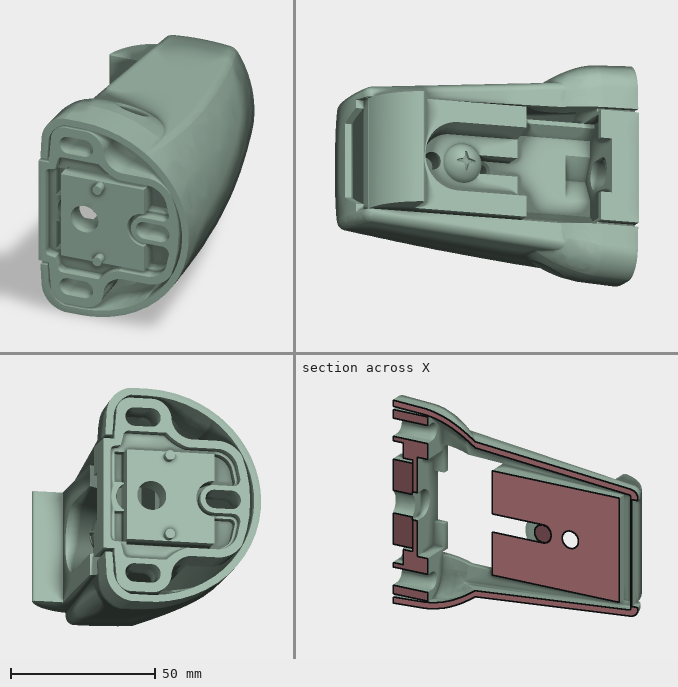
import cadquery as cq
import math


OVERALL_LENGTH = 103.0

COVER_LENGTH = 99.8
WALL = 2.5
CREST_X = 21.9
HALF_HEIGHT = 38.0
NOSE_STATIONS = [
    (0, 62.4, 38.0),
    (23.7, 61.3, 38.7),
    (56.6, 57.6, 36.7),
    (77.8, 53.1, 34.3),
    (108.1, 44.9, 29.9),
]
SHOULDER_STATIONS = [
    (0, 6.9, 38.0, 28.8, 16.0),
    (13.1, 7.3, 37.4, 28.3, 16.0),
    (20.9, 9.0, 35.6, 26.8, 16.9),
    (27.2, 11.7, 32.8, 25.2, 19.1),
    (34, 16.1, 28.3, 21.1, 20.4),
]
WALL_LEAN = 0.5
CORNER_MIDDLE_X = 0.3
CORNER_MIDDLE_Z = 0.66
NECK_Y = 0
SKIRT_SET_BACK = 0.1
NECK_WALL_BASE_X = 10.3
NECK_WALL_TIP_X = 15.0
SIDE_LEAN = 3.0
NECK_BASE_HALF_HEIGHT = 33.8
NECK_END_HALF_HEIGHT = 23.8
WEDGE_START_Y = -10.3
WEDGE_END_Y = 108.1
TIP_EDGE_Y = 96.4
TIP_EDGE_X = 49.4
SIDE_ROUND = 3.1
CREST_ROUND = 4.1
TIP_ROUND = 3.1
MOUTH_BASE_HALF_WIDTH = 20.9
MOUTH_TIP_HALF_WIDTH = 19.9
MOUTH_END_Y = 103.0
MOUTH_DEPTH_X = 17.5
TIP_NOTCH_X = 21.8
TIP_NOTCH_DEEP_X = 29.9
TIP_NOTCH_STEP_Z = 17.0
TIP_NOTCH_DEEP_Z = 13.1
DENT_CENTER = (31.7, 24.4, 33.2)
DENT_NORMAL = (0.22, 0.42, 0.88)
DENT_RIM_RADIUS = 8.0
DENT_SPHERE_RADIUS = 20.6
POST_DIAMETER = 6.8
POST_END_X = 55.1

FRAME_DEPTH = 14.0
SHELF_DEPTH = 4.1
POCKET_DEPTH = 7.8
POCKET_STEP = 0.9
POCKET_WALL_X = 8.9
DEEP_HALF_WIDTH = 17.0
WINDOW_LENGTH = 16.9
POCKET_STEP_START_X = 15.4
SIDE_WELL_X = 11.2
TONGUE_HALF_WIDTH = 5.1
FLOOR_TOP_Y = 9.9
BAR_X = 6.3
BAR_HALF_WIDTH = 19.6
SLOT_LENGTH = 12.6
SLOT_WIDTH = 6.6
LOBE_SLOT_X = 20.4
LOBE_SLOT_Z = 27.8
NOSE_SLOT_X = 48.9
BOSS_X = 45.7
BOSS_RADIUS = 4.9
BAR_NOTCH_HALF_WIDTH = 9.6

PLATE_LEFT_X = 14.6
PLATE_RIGHT_X = BOSS_X
PLATE_HALF_WIDTH = 16.0
PLATE_NOTCH_RADIUS = 6.4
ACCESS_HOLE_X = 23.5
ACCESS_HOLE_DIAMETER = 10.3
PEG_X = 29.4
PEG_Z = 14.0
PEG_DIAMETER = 3.4
PEG_LENGTH = OVERALL_LENGTH - COVER_LENGTH

HOOK_START_Y = 39.8
HOOK_END_Y = 95.7
HOOK_STEP_X = 16.7
HOOK_STEP_Y = 90.6
HOOK_LIP_Y = 80.7
HOOK_FACE_X = 10.7
HOOK_HALF_WIDTH = BAR_HALF_WIDTH
TAPER_START_X = 21.1
GROOVE_FLOOR_X = 29.0
GROOVE_FLOOR_HALF_WIDTH = 13.5
RECESS_FLOOR_X = 20.2
RECESS_CENTER_Y = 64.8
RECESS_TOP_RADIUS = 12.2
RECESS_FLOOR_RADIUS = 9.9
STOP_HOLE_Y = 71.1
STOP_HOLE_DIAMETER = 6.3

CARRIER_END_Y = 92.7
CARRIER_FACE_X = 24.5
CARRIER_BACK_X = 41.2
CARRIER_HALF_WIDTH = 18.4
VEE_END_Y = 19.0
VEE_HALF_WIDTH = 7.7
VEE_DEPTH = 5.1
TAPPED_HOLE_Y = 49.8
TAPPED_HOLE_DIAMETER = 4.4
TAPPED_HOLE_RIM_DIAMETER = 6.3
TAPPED_HOLE_DEPTH = 8.2

SCREW_Y = 59.9
SHANK_DIAMETER = 6.6
SHANK_END_X = 38.1
HEAD_DIAMETER = 14.0
HEAD_HEIGHT = 4.6
DRIVE_LENGTH = 6.9
DRIVE_WIDTH = 1.9
DRIVE_TIP_WIDTH = 0.6
DRIVE_DEPTH = 2.1


def section_plane(y):
    """Cross-section plane at height y; its local axes are X and Z."""
    return cq.Workplane("XZ", origin=(0, y, 0))


def prism_along_y(outline, start_y, end_y):
    return outline.extrude(-(end_y - start_y))


def block(x_range, y_range, z_half):
    """Box between two x and two y values, centred on z = 0."""
    size_x = x_range[1] - x_range[0]
    size_y = y_range[1] - y_range[0]
    return (cq.Workplane("XY")
            .box(size_x, size_y, 2 * z_half, centered=(False, False, True))
            .translate((x_range[0], y_range[0], 0)))


def loft(wires):
    return cq.Workplane(obj=cq.Solid.makeLoft(wires))


def nose_form(inset):
    """Tapering elliptical body whose +X side follows the nose stations."""
    wires = []
    for y, far_x, half_height in NOSE_STATIONS:
        section = section_plane(y).center(CREST_X, 0)
        wires.append(section.ellipse(far_x - CREST_X - inset, half_height - inset, 180).val())
    return loft(wires)


def far_x_at(y):
    """Interpolated +X extent of the nose at height y."""
    for (y0, x0, _), (y1, x1, _) in zip(NOSE_STATIONS, NOSE_STATIONS[1:]):
        if y <= y1:
            return x0 + (x1 - x0) * (y - y0) / (y1 - y0)


def shoulder_form(inset):
    """Skirt and shoulders: flat -X wall, round corners and an elliptical +X side."""
    wires = []
    for y, wall_x, half_height, flat, corner_x in SHOULDER_STATIONS:
        left = wall_x + inset
        top = half_height - inset
        straight = flat - inset
        rim = left + WALL_LEAN
        middle_x = rim + (corner_x - rim) * CORNER_MIDDLE_X
        middle_z = straight + (top - straight) * CORNER_MIDDLE_Z
        wires.append(
            section_plane(y)
            .moveTo(left, -MOUTH_TIP_HALF_WIDTH)
            .lineTo(left, MOUTH_TIP_HALF_WIDTH)
            .lineTo(rim, straight)
            .threePointArc((middle_x, middle_z), (corner_x, top))
            .lineTo(CREST_X, top)
            .ellipseArc(far_x_at(y) - SKIRT_SET_BACK - CREST_X - inset, top, -90, 90, sense=-1)
            .lineTo(corner_x, -top)
            .threePointArc((middle_x, -middle_z), (rim, -straight))
            .close().val()
        )
    return loft(wires[:2]).union(loft(wires[1:]))


def neck_form(inset):
    """Tapering body: the nose trimmed to a wedge with a crowned tip."""
    tip = COVER_LENGTH - inset
    crown = (
        cq.Workplane("XY")
        .moveTo(NECK_WALL_BASE_X + inset, NECK_Y)
        .lineTo(NECK_WALL_TIP_X + inset, TIP_EDGE_Y - inset)
        .threePointArc(((NECK_WALL_TIP_X + TIP_EDGE_X) / 2, tip), (TIP_EDGE_X - inset, TIP_EDGE_Y - inset))
        .lineTo(2 * TIP_EDGE_X, TIP_EDGE_Y - inset)
        .lineTo(2 * TIP_EDGE_X, NECK_Y)
        .close().extrude(HALF_HEIGHT, both=True)
    )
    base_half = NECK_BASE_HALF_HEIGHT - inset
    end_half = NECK_END_HALF_HEIGHT - inset
    wedge = (
        cq.Workplane("YZ")
        .polyline([
            (WEDGE_START_Y, -base_half), (WEDGE_END_Y, -end_half),
            (WEDGE_END_Y, end_half), (WEDGE_START_Y, base_half),
        ])
        .close().extrude(2 * TIP_EDGE_X, taper=SIDE_LEAN)
    )
    neck = nose_form(inset).intersect(crown).intersect(wedge)
    for round_radius, least_x, most_x in [
        (SIDE_ROUND, 0, CREST_X),
        (CREST_ROUND, CREST_X, 2 * TIP_EDGE_X),
    ]:
        long_edges = cq.selectors.BoxSelector(
            (least_x, NECK_Y + 1, -HALF_HEIGHT), (most_x, TIP_EDGE_Y - CREST_ROUND, HALF_HEIGHT))
        neck = neck.edges(long_edges).fillet(round_radius - inset)
    return neck.faces(">Y").edges().fillet(TIP_ROUND - inset)


def dents(radius):
    """Spheres that press a round dent into both shoulders."""
    rise = math.sqrt(DENT_SPHERE_RADIUS ** 2 - DENT_RIM_RADIUS ** 2)
    x, y, z = (c + rise * n for c, n in zip(DENT_CENTER, DENT_NORMAL))
    sphere = cq.Workplane("XY").sphere(radius)
    return sphere.translate((x, y, z)).add(sphere.translate((x, y, -z))).combine()


def cover_form(inset):
    shoulders = shoulder_form(inset).cut(dents(DENT_SPHERE_RADIUS + inset))
    return shoulders.union(neck_form(inset))


def tip_notch():
    """Notch in the tip wall: wide near the mouth, then narrowing towards the crown."""
    outline = section_plane(HOOK_END_Y).polyline([
        (0, -MOUTH_TIP_HALF_WIDTH), (TIP_NOTCH_X, -MOUTH_TIP_HALF_WIDTH),
        (TIP_NOTCH_X, -TIP_NOTCH_STEP_Z), (TIP_NOTCH_DEEP_X, -TIP_NOTCH_DEEP_Z),
        (TIP_NOTCH_DEEP_X, TIP_NOTCH_DEEP_Z), (TIP_NOTCH_X, TIP_NOTCH_STEP_Z),
        (TIP_NOTCH_X, MOUTH_TIP_HALF_WIDTH), (0, MOUTH_TIP_HALF_WIDTH),
    ]).close()
    return prism_along_y(outline, HOOK_END_Y, MOUTH_END_Y)


def make_cover():
    mouth = (
        cq.Workplane("YZ")
        .polyline([
            (0, -MOUTH_BASE_HALF_WIDTH), (MOUTH_END_Y, -MOUTH_TIP_HALF_WIDTH),
            (MOUTH_END_Y, MOUTH_TIP_HALF_WIDTH), (0, MOUTH_BASE_HALF_WIDTH),
        ])
        .close().extrude(MOUTH_DEPTH_X)
    )
    post = rod_along_x(SCREW_Y, POST_DIAMETER, CARRIER_BACK_X, POST_END_X)
    return cover_form(0).cut(cover_form(WALL)).cut(mouth).cut(tip_notch()).union(post)


def make_frame(cover):
    """Base ring with a rear pocket, three slots and a cross bar in the cover's mouth."""
    half_ring = (
        cq.Workplane("XZ")
        .moveTo(9.9, 0)
        .lineTo(10.2, 20.9)
        .lineTo(10.9, 29.2)
        .threePointArc((12.5, 33.1), (16.4, 34.5))
        .lineTo(24.3, 34.5)
        .threePointArc((28.7, 32.1), (30.6, 27.2))
        .threePointArc((32.5, 23.2), (37.6, 20.8))
        .lineTo(47.8, 20.8)
        .threePointArc((52.7, 19.0), (55.6, 16.0))
        .threePointArc((57.8, 8.2), (58.5, 0))
        .close()
    )
    ring = half_ring.extrude(-FRAME_DEPTH)
    ring = ring.union(ring.mirror("XY"))
    bar = block((BAR_X, PLATE_LEFT_X), (0, FRAME_DEPTH), BAR_HALF_WIDTH)
    slots = (
        cq.Workplane("XZ")
        .pushPoints([(LOBE_SLOT_X, LOBE_SLOT_Z), (LOBE_SLOT_X, -LOBE_SLOT_Z), (NOSE_SLOT_X, 0)])
        .slot2D(SLOT_LENGTH, SLOT_WIDTH).extrude(-FRAME_DEPTH)
    )
    window_left_x = ACCESS_HOLE_X + ACCESS_HOLE_DIAMETER / 2 - WINDOW_LENGTH
    window = (
        cq.Workplane("XZ").center(window_left_x + WINDOW_LENGTH / 2, 0)
        .slot2D(WINDOW_LENGTH, ACCESS_HOLE_DIAMETER).extrude(-FRAME_DEPTH)
    )
    carrier_seat = block((POCKET_WALL_X, CARRIER_BACK_X), (FLOOR_TOP_Y, FRAME_DEPTH), CARRIER_HALF_WIDTH)
    bar_notch = block((BAR_X, POCKET_WALL_X), (FLOOR_TOP_Y, FRAME_DEPTH), BAR_NOTCH_HALF_WIDTH)
    frame = ring.union(bar)
    for void in [stepped_pocket(), slots, window, carrier_seat, bar_notch, cover]:
        frame = frame.cut(void)
    return frame


def pocket_outline():
    """Mirrored outline of the pocket, wrapped around the boss of the nose slot."""
    boss_middle = BOSS_RADIUS * math.sqrt(0.5)
    return (
        cq.Workplane("XZ")
        .moveTo(POCKET_WALL_X, 0)
        .lineTo(POCKET_WALL_X, 15.4)
        .threePointArc((9.3, 16.5), (10.3, 17.0))
        .lineTo(12.5, 17.4)
        .lineTo(13.3, 20.6)
        .threePointArc((13.9, 22.0), (15.4, 22.7))
        .lineTo(28.7, 22.7)
        .threePointArc((32.2, 19.8), (36.3, 17.9))
        .lineTo(47.8, 17.9)
        .threePointArc((52.0, 15.8), (54.1, 12.0))
        .lineTo(54.9, 8.2)
        .threePointArc((54.6, 6.1), (52.5, BOSS_RADIUS))
        .lineTo(BOSS_X, BOSS_RADIUS)
        .threePointArc((BOSS_X - boss_middle, boss_middle), (BOSS_X - BOSS_RADIUS, 0))
        .mirrorX()
    )


def stepped_pocket():
    """Shelf-deep pocket with a deeper, slightly smaller part around the plate."""
    shelf = pocket_outline().extrude(-SHELF_DEPTH)
    core = pocket_outline().offset2D(-POCKET_STEP).extrude(-POCKET_DEPTH)
    nose_x = NOSE_STATIONS[0][1]
    core = core.intersect(block((POCKET_STEP_START_X, nose_x), (0, POCKET_DEPTH), DEEP_HALF_WIDTH))
    wells = block((SIDE_WELL_X, POCKET_STEP_START_X), (0, POCKET_DEPTH), PLATE_HALF_WIDTH)
    tongue = block((SIDE_WELL_X, PLATE_LEFT_X), (0, POCKET_DEPTH), TONGUE_HALF_WIDTH)
    return shelf.union(core).union(wells.cut(tongue))


def vee_groove():
    """V-shaped valley along Y at the start of the groove floor."""
    return (
        section_plane(FLOOR_TOP_Y)
        .polyline([(GROOVE_FLOOR_X, -VEE_HALF_WIDTH), (GROOVE_FLOOR_X + VEE_DEPTH, 0),
                   (GROOVE_FLOOR_X, VEE_HALF_WIDTH)])
        .close().extrude(-(VEE_END_Y - FLOOR_TOP_Y))
    )


def make_plate():
    """Contact plate in the frame's pocket, with an access hole and two pegs."""
    plate = block((PLATE_LEFT_X, PLATE_RIGHT_X), (0, POCKET_DEPTH), PLATE_HALF_WIDTH)
    access_hole = (
        cq.Workplane("XZ").center(ACCESS_HOLE_X, 0).circle(ACCESS_HOLE_DIAMETER / 2).extrude(-POCKET_DEPTH)
    )
    boss_notch = cq.Workplane("XZ").center(BOSS_X, 0).circle(PLATE_NOTCH_RADIUS).extrude(-POCKET_DEPTH)
    pegs = (
        cq.Workplane("XZ").pushPoints([(PEG_X, PEG_Z), (PEG_X, -PEG_Z)])
        .circle(PEG_DIAMETER / 2).extrude(PEG_LENGTH)
    )
    return plate.cut(access_hole).cut(boss_notch).union(pegs)


def rod_along_x(y, diameter, start_x, end_x):
    return cq.Workplane("YZ", origin=(start_x, y, 0)).circle(diameter / 2).extrude(end_x - start_x)


def make_hook():
    """Sliding jaw: curved lip, tapered underside, round-ended recess and open screw slot."""
    profile = (
        cq.Workplane("XY")
        .moveTo(HOOK_FACE_X, HOOK_START_Y)
        .lineTo(HOOK_FACE_X, HOOK_LIP_Y)
        .lineTo(0.8, HOOK_LIP_Y)
        .threePointArc((0.1, 81.2), (0.1, 82.2))
        .threePointArc((7.2, 91.9), (16.1, HOOK_END_Y))
        .lineTo(HOOK_STEP_X, HOOK_END_Y)
        .lineTo(HOOK_STEP_X, HOOK_STEP_Y)
        .lineTo(GROOVE_FLOOR_X, HOOK_STEP_Y)
        .lineTo(GROOVE_FLOOR_X, HOOK_START_Y)
        .close().extrude(HOOK_HALF_WIDTH, both=True)
    )
    cross_section = prism_along_y(
        section_plane(HOOK_START_Y).polyline([
            (0, -HOOK_HALF_WIDTH), (TAPER_START_X, -HOOK_HALF_WIDTH),
            (GROOVE_FLOOR_X, -GROOVE_FLOOR_HALF_WIDTH), (GROOVE_FLOOR_X, GROOVE_FLOOR_HALF_WIDTH),
            (TAPER_START_X, HOOK_HALF_WIDTH), (0, HOOK_HALF_WIDTH),
        ]).close(), HOOK_START_Y, HOOK_END_Y)
    stop_hole = rod_along_x(STOP_HOLE_Y, STOP_HOLE_DIAMETER, RECESS_FLOOR_X, GROOVE_FLOOR_X)
    return profile.intersect(cross_section).cut(recess()).cut(screw_slot()).cut(stop_hole)


def recess_outline(x, radius):
    """Round-ended outline, open towards the base, at depth x."""
    return (
        cq.Workplane("YZ", origin=(x, 0, 0))
        .moveTo(HOOK_START_Y, -radius)
        .lineTo(RECESS_CENTER_Y, -radius)
        .threePointArc((RECESS_CENTER_Y + radius, 0), (RECESS_CENTER_Y, radius))
        .lineTo(HOOK_START_Y, radius)
        .close().val()
    )


def recess():
    rim = recess_outline(HOOK_FACE_X, RECESS_TOP_RADIUS)
    floor = recess_outline(RECESS_FLOOR_X, RECESS_FLOOR_RADIUS)
    return loft([rim, floor])


def screw_slot():
    slot = block((RECESS_FLOOR_X, GROOVE_FLOOR_X), (HOOK_START_Y, SCREW_Y), SHANK_DIAMETER / 2)
    return slot.union(rod_along_x(SCREW_Y, SHANK_DIAMETER, RECESS_FLOOR_X, GROOVE_FLOOR_X))


def make_carrier():
    """Guide block whose tapered groove holds the hook."""
    body = block((CARRIER_FACE_X, CARRIER_BACK_X), (FLOOR_TOP_Y, CARRIER_END_Y), CARRIER_HALF_WIDTH)
    groove = prism_along_y(
        section_plane(FLOOR_TOP_Y).polyline([
            (TAPER_START_X, -HOOK_HALF_WIDTH), (GROOVE_FLOOR_X, -GROOVE_FLOOR_HALF_WIDTH),
            (GROOVE_FLOOR_X, GROOVE_FLOOR_HALF_WIDTH), (TAPER_START_X, HOOK_HALF_WIDTH),
        ]).close(), FLOOR_TOP_Y, CARRIER_END_Y)
    tapped_hole = rod_along_x(
        TAPPED_HOLE_Y, TAPPED_HOLE_DIAMETER, GROOVE_FLOOR_X, GROOVE_FLOOR_X + TAPPED_HOLE_DEPTH)
    rim_height = (TAPPED_HOLE_RIM_DIAMETER - TAPPED_HOLE_DIAMETER) / 2
    rim = (
        cq.Workplane("YZ", origin=(GROOVE_FLOOR_X, TAPPED_HOLE_Y, 0))
        .circle(TAPPED_HOLE_RIM_DIAMETER / 2)
        .workplane(offset=rim_height).circle(TAPPED_HOLE_DIAMETER / 2).loft()
    )
    screw_hole = rod_along_x(SCREW_Y, SHANK_DIAMETER, GROOVE_FLOOR_X, SHANK_END_X)
    return body.cut(groove).cut(vee_groove()).cut(tapped_hole).cut(rim).cut(screw_hole)


def make_screw():
    """Dome-headed screw with a cross drive."""
    top_x = RECESS_FLOOR_X - HEAD_HEIGHT
    radius = HEAD_DIAMETER / 2
    dome_radius = (radius ** 2 + HEAD_HEIGHT ** 2) / (2 * HEAD_HEIGHT)
    half_angle = math.asin(radius / dome_radius) / 2
    middle_x = top_x + dome_radius * (1 - math.cos(half_angle))
    middle_y = SCREW_Y + dome_radius * math.sin(half_angle)
    head = (
        cq.Workplane("XY")
        .moveTo(top_x, SCREW_Y)
        .threePointArc((middle_x, middle_y), (RECESS_FLOOR_X, SCREW_Y + radius))
        .lineTo(RECESS_FLOOR_X, SCREW_Y)
        .close()
        .revolve(360, (0, SCREW_Y, 0), (1, SCREW_Y, 0))
    )
    shank = rod_along_x(SCREW_Y, SHANK_DIAMETER, RECESS_FLOOR_X, SHANK_END_X)
    half = DRIVE_LENGTH / 2
    waist = DRIVE_WIDTH / 2
    tip = DRIVE_TIP_WIDTH / 2
    cross = (
        cq.Workplane("YZ", origin=(top_x, SCREW_Y, 0))
        .polyline([
            (half, -tip), (half, tip), (waist, waist),
            (tip, half), (-tip, half), (-waist, waist),
            (-half, tip), (-half, -tip), (-waist, -waist),
            (-tip, -half), (tip, -half), (waist, -waist),
        ])
        .close().extrude(DRIVE_DEPTH)
    )
    return head.union(shank).cut(cross)


cover = make_cover()
frame = make_frame(cover)
plate = make_plate()
hook = make_hook()
carrier = make_carrier()
screw = make_screw()

bodies = [cover, frame, plate, hook, carrier, screw]
result = cq.Compound.makeCompound([body.solids().val() for body in bodies])